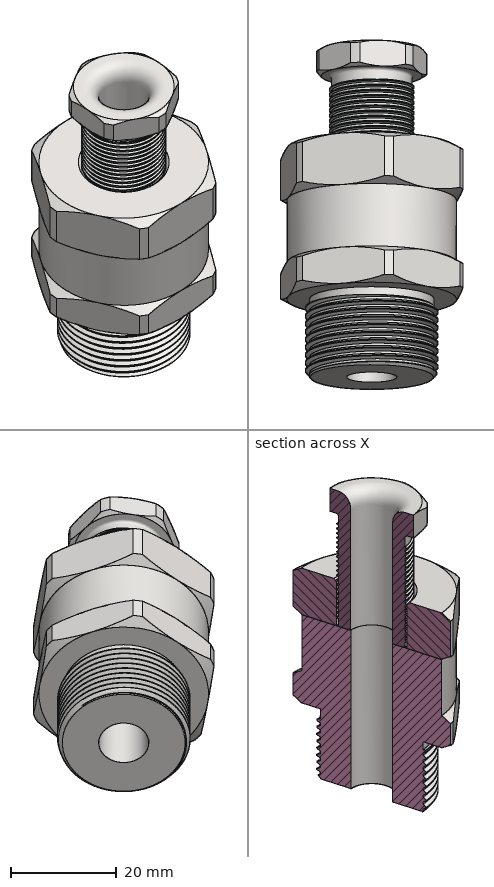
import cadquery as cq
import math

entry_height = 15.0
body_hex_height = 7.0
sleeve_height = 12.05
nut_height = 9.95
bolt_exposed_height = 14.05
total_height = 63

body_hex_bottom = entry_height
sleeve_bottom = body_hex_bottom + body_hex_height
nut_bottom = sleeve_bottom + sleeve_height
nut_top = nut_bottom + nut_height
head_bottom = nut_top + bolt_exposed_height
head_height = total_height - head_bottom

large_flats = 32.0
large_corner_diameter = 36.0
large_flat_direction = 0
head_flats = 19.0
head_corner_diameter = 21.0
head_flat_direction = 90
hex_chamfer_angle = 30
bolt_turn = 2

entry_core_radius = 11.8
entry_crest_radius = 12.55
entry_crest_width = 0.2
entry_neck_length = 1.6
entry_helix_bottom = -0.7
entry_helix_height = 15.0
entry_helix_turns = 10
entry_end_chamfer = 0.95

bolt_core_radius = 7.6
bolt_crest_radius = 8.0
bolt_crest_width = 0.1
bolt_neck_length = 2.1
bolt_helix_bottom = 34.85
bolt_helix_height = 21.5
bolt_helix_turns = 21.5
bolt_thread_start = -90
neck_fillet = 0.5

bore_radius = 4.7
flare_radius = 3.0
countersink_radius = 8.55

thread_half_angle = 30
core_overlap = 0.1
trim_size = 3.15


def cylinder(radius, bottom, top):
    return cq.Workplane("XY").workplane(offset=bottom).circle(radius).extrude(top - bottom)


def spin(outline):
    """Solid of revolution about Z of a closed outline in the XZ plane."""
    return outline.close().revolve(360, (0, 0, 0), (0, 1, 0))


def chamfered_hexagon(flats, corner_diameter, flat_direction, bottom, height):
    """Hexagonal prism with turned corners and conical chamfers on both ends."""
    flat_radius = flats / 2
    corner_radius = corner_diameter / 2
    top = bottom + height
    cone_height = (corner_radius - flat_radius) * math.tan(math.radians(hex_chamfer_angle))
    turned_blank = spin(
        cq.Workplane("XZ")
        .moveTo(0, bottom)
        .lineTo(flat_radius, bottom)
        .lineTo(corner_radius, bottom + cone_height)
        .lineTo(corner_radius, top - cone_height)
        .lineTo(flat_radius, top)
        .lineTo(0, top)
    )
    prism = (
        cq.Workplane("XY")
        .workplane(offset=bottom)
        .transformed(rotate=(0, 0, flat_direction))
        .polygon(6, flats, circumscribed=True)
        .extrude(height)
    )
    return prism.intersect(turned_blank)


def thread_ridge(core_radius, crest_radius, crest_width, helix_bottom, helix_height, turns, flat_top):
    """Right-handed helical ridge of trapezoid section, cut off level at flat_top.

    Its lower end is on the +X side.
    """
    root_radius = core_radius - core_overlap
    half_crest = crest_width / 2
    half_root = half_crest + (crest_radius - root_radius) * math.tan(math.radians(thread_half_angle))
    helix = cq.Wire.makeHelix(helix_height / turns, helix_height, core_radius)
    ridge = (
        cq.Workplane("XZ")
        .moveTo(root_radius, -half_root)
        .lineTo(crest_radius, -half_crest)
        .lineTo(crest_radius, half_crest)
        .lineTo(root_radius, half_root)
        .close()
        .sweep(cq.Workplane(obj=helix), isFrenet=True)
    )
    above_thread = cylinder(crest_radius + trim_size, flat_top, flat_top + trim_size)
    return ridge.translate((0, 0, helix_bottom)).cut(above_thread)


def make_body():
    """Sleeve, lower hexagon and threaded entry in one piece, with a through bore."""
    core = cylinder(entry_core_radius, 0, entry_height)
    hexagon = chamfered_hexagon(
        large_flats, large_corner_diameter, large_flat_direction, body_hex_bottom, body_hex_height
    )
    sleeve = cylinder(large_flats / 2, sleeve_bottom, nut_bottom)
    bore = cylinder(bore_radius, 0, nut_bottom)
    ridge = thread_ridge(
        entry_core_radius,
        entry_crest_radius,
        entry_crest_width,
        entry_helix_bottom,
        entry_helix_height,
        entry_helix_turns,
        entry_height - entry_neck_length,
    )
    end_radius = entry_crest_radius - entry_end_chamfer
    end_trim = spin(
        cq.Workplane("XZ")
        .moveTo(0, 0)
        .lineTo(end_radius, 0)
        .lineTo(end_radius + trim_size, trim_size)
        .lineTo(end_radius + trim_size, -trim_size)
        .lineTo(0, -trim_size)
    )
    return core.union(hexagon).union(sleeve).cut(bore).union(ridge).cut(end_trim)


def make_nut():
    """Upper hexagon with a hole that fits the crests of the bolt thread, countersunk at 45 degrees."""
    hexagon = chamfered_hexagon(
        large_flats, large_corner_diameter, large_flat_direction, nut_bottom, nut_height
    )
    countersink_depth = countersink_radius - bolt_crest_radius
    bolt_hole = spin(
        cq.Workplane("XZ")
        .moveTo(0, nut_bottom)
        .lineTo(bolt_crest_radius, nut_bottom)
        .lineTo(bolt_crest_radius, nut_top - countersink_depth)
        .lineTo(countersink_radius, nut_top)
        .lineTo(0, nut_top)
    )
    return hexagon.cut(bolt_hole)


def make_bolt():
    """Hollow hexagon-headed bolt that reaches down through the nut to the body."""
    shank = spin(
        cq.Workplane("XZ")
        .moveTo(0, nut_bottom)
        .lineTo(bolt_core_radius, nut_bottom)
        .lineTo(bolt_core_radius, head_bottom - neck_fillet)
        .radiusArc((bolt_core_radius + neck_fillet, head_bottom), neck_fillet)
        .lineTo(0, head_bottom)
    )
    head = chamfered_hexagon(
        head_flats, head_corner_diameter, head_flat_direction, head_bottom, head_height
    )
    flared_bore = spin(
        cq.Workplane("XZ")
        .moveTo(0, nut_bottom)
        .lineTo(bore_radius, nut_bottom)
        .lineTo(bore_radius, total_height - flare_radius)
        .radiusArc((bore_radius + flare_radius, total_height), flare_radius)
        .lineTo(0, total_height)
    )
    ridge = thread_ridge(
        bolt_core_radius,
        bolt_crest_radius,
        bolt_crest_width,
        bolt_helix_bottom,
        bolt_helix_height,
        bolt_helix_turns,
        head_bottom - bolt_neck_length,
    ).rotate((0, 0, 0), (0, 0, 1), bolt_thread_start)
    bolt = shank.union(head).cut(flared_bore).union(ridge)
    return bolt.rotate((0, 0, 0), (0, 0, 1), bolt_turn)


body = make_body()
nut = make_nut()
bolt = make_bolt()

result = cq.Compound.makeCompound([part.solids().val() for part in (body, nut, bolt)])